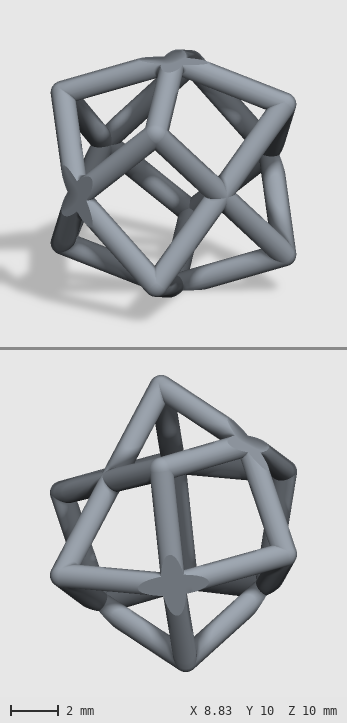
import cadquery as cq

overall_size = 10.0
strut_diameter = 1.0

strut_radius = strut_diameter / 2
apex_height = overall_size / 2
corner_offset = apex_height * 2 / 3

SIGNS = (-1, 1)


def strut(start, end):
    """Round bar between two points."""
    start_point = cq.Vector(*start)
    axis = cq.Vector(*end) - start_point
    return cq.Workplane(cq.Solid.makeCylinder(strut_radius, axis.Length, start_point, axis))


def corner_node(corner):
    """Ball that rounds the joint of the struts at a cube corner."""
    return cq.Workplane("XY").sphere(strut_radius).translate(corner)


apexes = {
    (axis, sign): tuple(sign * apex_height if i == axis else 0 for i in range(3))
    for axis in range(3)
    for sign in SIGNS
}
apexes[(0, 1)] = (corner_offset, 0, 0)

corners = [
    (x * corner_offset, y * corner_offset, z * corner_offset)
    for x in SIGNS
    for y in SIGNS
    for z in SIGNS
]

frame = cq.Workplane("XY")
for corner in corners:
    frame = frame.add(corner_node(corner))
    for (axis, sign), apex in apexes.items():
        if corner[axis] * sign > 0:
            frame = frame.add(strut(corner, apex))
frame = frame.combine()

result = frame.intersect(cq.Workplane("XY").box(overall_size, overall_size, overall_size))